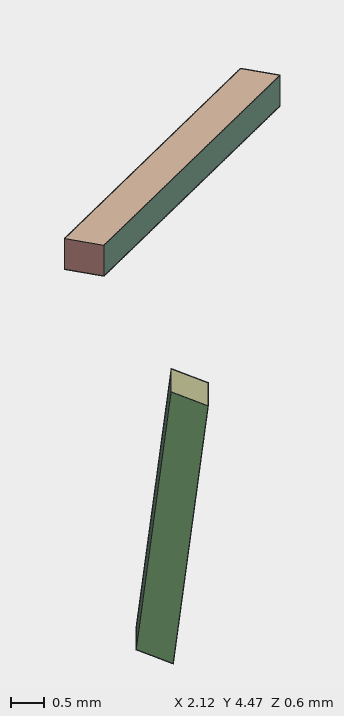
import cadquery as cq

length = 4.47
overall_width = 2.12
bar_width = 0.61
height = 0.6

slant_offset = overall_width - bar_width

outline = [
    (0, 0),
    (bar_width, 0),
    (overall_width, length),
    (slant_offset, length),
]

result = cq.Workplane("XY").polyline(outline).close().extrude(height)